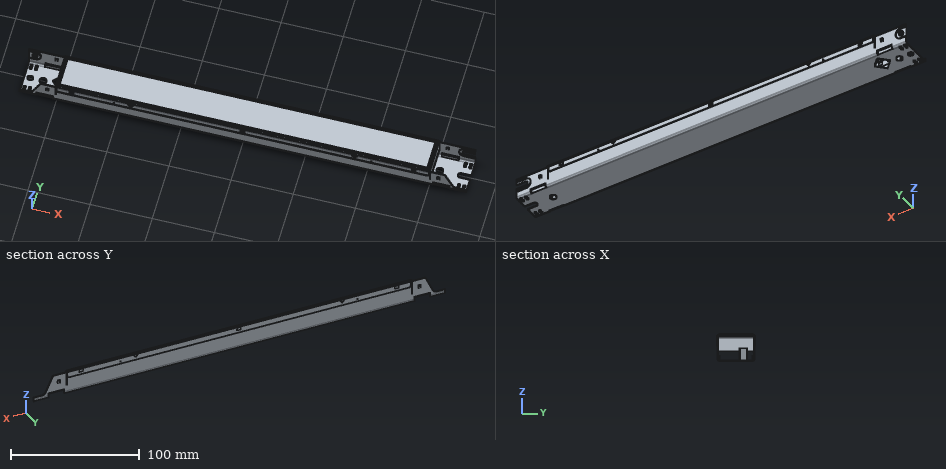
import cadquery as cq
import math

length = 359.0
overall_width = 30.12
overall_height = 21.0
sheet = 0.6

base_width = overall_width - 2 * sheet
base_height = 18.6
base_bend = 1.7
lip_height = 3.4
lip_corner_inset = 9.7
wall_top_inset = 17.0
lip_fillet = 3.5

cover_inset = 28.7
skirt_inset = 29.9
skirt_bottom = 13.2
skirt_corner_radius = 1.5
lid_facets = ((0.25, 1.1), (1.1, 1.1), (1.1, 0.4))
flap_bottom = 7.6

wall_hole_diameter = 4.1
wall_hole_inset = 4.8
wall_hole_height = 11.5
wall_slot_centre_inset = 8.3
pad_diameter = 9.6
pad_depth = 0.3

floor_hole_diameter = 5.4
left_floor_hole_inset = 15.1
right_floor_hole_inset = 24.9
floor_slot_width = 4.2
oblong_length = 4.6
oblong_width = 3.8
oblong_inset = 4.8
floor_slot_depth = 10.2
corner_hole_diameter = 1.9
corner_hole_insets = (2.7, 7.0)
corner_hole_offsets = (9.0, 11.4)

window_side = 10.0
window_turn = -45.0
window_apex_inset = 22.3
window_y = 1.9
tab_width = 7.7
tab_height = 10.0

recess_depth = 0.5
dent_start = 13.2
dent_end = 26.8
dent_depth = 1.3
lance_inset = 22.2
lance_width = 2.0
lance_bottom = 10.9
lance_height = 2.3
snap_positions = (-137.6, 0.0, 137.6)
snap_width = 3.3
snap_bottom = 15.3
snap_height = 2.5
notch_positions = (-90.0, 90.0)
notch_width = 4.4
notch_bottom = 15.6
notch_top = 18.2
prick_positions = (-103.5, 103.5)
prick_height = 15.2
prick_diameter = 0.5

cut_margin = 1.0

half_length = length / 2
half_base = base_width / 2
half_width = overall_width / 2
wall_inner = half_base - sheet
cover_length = length - 2 * cover_inset


def box(x0, x1, y0, y1, z0, z1):
    """Axis-aligned block between opposite corners."""
    return cq.Workplane("XY").box(x1 - x0, y1 - y0, z1 - z0, centered=False).translate((x0, y0, z0))


def both_ends(shape):
    """Shape joined with its copy at the opposite X end."""
    return shape.union(shape.mirror("YZ"))


def both_sides(shape):
    """Shape joined with its copy on the opposite Y side."""
    return shape.union(shape.mirror("XZ"))


def side_prism(points, y0, y1):
    """Prism on an outline in (x, z), running from y0 to y1."""
    return cq.Workplane("XZ").polyline(points).close().extrude(-(y1 - y0)).translate((0, y0, 0))


def long_prism(points, width, x_centre):
    """Prism on an outline in (y, z), centred on x_centre."""
    prism = cq.Workplane("YZ").polyline(points).close().extrude(width / 2, both=True)
    return prism.translate((x_centre, 0, 0))


def channel():
    """U-shaped base with rounded bottom bends."""
    outer = box(-half_length, half_length, -half_base, half_base, 0, base_height)
    outer = outer.edges("|X and <Z").fillet(base_bend)
    inner = box(-half_length, half_length, -wall_inner, wall_inner, sheet, overall_height)
    inner = inner.edges("|X and <Z").fillet(base_bend - sheet)
    return outer.cut(inner)


def front_wall_cutaway():
    """Sloping cut that leaves only a low lip at each end of the front wall."""
    outline = [
        (-half_length - cut_margin, lip_height),
        (-half_length + lip_corner_inset, lip_height),
        (-half_length + wall_top_inset, base_height),
        (-half_length + wall_top_inset, overall_height),
        (-half_length - cut_margin, overall_height),
    ]
    cutter = side_prism(outline, -half_width, -wall_inner + cut_margin)
    corner_point = (-half_length + lip_corner_inset, -half_base, lip_height)
    lip_corner = cq.selectors.NearestToPointSelector(corner_point)
    return both_ends(cutter.edges("|Y").edges(lip_corner).fillet(lip_fillet))


def wall_disc(x_centre, diameter, y0, y1):
    """Disc along Y at the mounting height of the back wall."""
    disc = cq.Workplane("XZ").circle(diameter / 2).extrude(-(y1 - y0))
    return disc.translate((x_centre, y0, wall_hole_height))


def open_slot(x_centre, diameter, y0, y1):
    """Round-ended slot shape in the back wall, open at the +X end."""
    height = wall_hole_height
    radius = diameter / 2
    slab = box(x_centre, half_length, y0, y1, height - radius, height + radius)
    envelope = box(x_centre - radius, half_length, y0, y1, height - radius, height + radius)
    return slab.union(wall_disc(x_centre, diameter, y0, y1)).intersect(envelope)


def add_wall_mounts(base):
    """Pressed pads with a hole at the -X end and an open slot at the +X end."""
    hole_x = -half_length + wall_hole_inset
    slot_x = half_length - wall_slot_centre_inset

    def pads(y0, y1):
        left = open_slot(-hole_x, pad_diameter, y0, y1).mirror("YZ")
        return left.union(open_slot(slot_x, pad_diameter, y0, y1))

    base = base.union(pads(wall_inner - pad_depth, wall_inner))
    base = base.cut(pads(half_base - pad_depth, half_base))
    base = base.cut(wall_disc(hole_x, wall_hole_diameter, 0, half_width))
    return base.cut(open_slot(slot_x, wall_hole_diameter, 0, half_width))


def floor_openings():
    """Holes and slots through the floor."""
    floor = cq.Workplane("XY").workplane(offset=-cut_margin)
    depth = sheet + 2 * cut_margin
    hole_points = [(-half_length + left_floor_hole_inset, 0), (half_length - right_floor_hole_inset, 0)]
    cutter = floor.pushPoints(hole_points).circle(floor_hole_diameter / 2).extrude(depth)
    oblong = floor.center(-half_length + oblong_inset, 0).slot2D(oblong_length, oblong_width).extrude(depth)
    slot = floor.center(half_length, 0).slot2D(2 * floor_slot_depth, floor_slot_width).extrude(depth)
    corner_points = [
        (end * (half_length - inset), side * offset)
        for end in (-1, 1)
        for side in (-1, 1)
        for inset in corner_hole_insets
        for offset in corner_hole_offsets
    ]
    corners = floor.pushPoints(corner_points).circle(corner_hole_diameter / 2).extrude(depth)
    return cutter.union(oblong).union(slot).union(corners)


def place_in_window(shape):
    """Move a shape from the window's own frame, apex at the origin, onto the floor."""
    turned = shape.rotate((0, 0, 0), (0, 0, 1), window_turn)
    return turned.translate((-half_length + window_apex_inset, window_y, 0))


def add_floor_window(base):
    """Turned square window and the tab standing on its far edge."""
    window = place_in_window(box(0, window_side, 0, window_side, -cut_margin, sheet + cut_margin))
    tab_start = (window_side - tab_width) / 2
    tab_end = tab_start + tab_width
    tab = place_in_window(box(tab_start, tab_end, window_side, window_side + sheet, 0, tab_height))
    return base.cut(window).union(tab)


def add_corner_dents(base):
    """Low stretches of both walls pressed inward near each end."""
    x0 = -half_length + dent_start
    x1 = -half_length + dent_end
    pressed_face = half_base - dent_depth
    inside = box(x0, x1, pressed_face - sheet, wall_inner, 0, lip_height + sheet)
    outside = box(x0, x1, pressed_face, half_base, 0, lip_height)
    return base.union(both_ends(both_sides(inside))).cut(both_ends(both_sides(outside)))


def add_lances(base):
    """Small wall tabs hinged at the bottom and leaning outward."""
    x = -half_length + lance_inset
    top = lance_bottom + lance_height
    x0 = x - lance_width / 2
    x1 = x + lance_width / 2
    window = box(x0, x1, wall_inner - cut_margin, half_width, lance_bottom, top)
    outline = [
        (wall_inner, lance_bottom),
        (half_base, lance_bottom),
        (half_width, top),
        (half_width - sheet, top),
    ]
    tab = long_prism(outline, lance_width, x)
    return base.cut(both_ends(both_sides(window))).union(both_ends(both_sides(tab)))


def lid_body(half_x, half_y, top):
    """Block whose upper edges are bevelled in successive flat facets."""
    level = top - sum(rise for _, rise in lid_facets)
    body = box(-half_x, half_x, -half_y, half_y, flap_bottom, level)
    for run, rise in lid_facets:
        taper = math.degrees(math.atan2(run, rise))
        outline = cq.Workplane("XY").workplane(offset=level).rect(2 * half_x, 2 * half_y)
        body = body.union(outline.extrude(rise, taper=taper))
        level += rise
        half_x -= run
        half_y -= run
    return body


def cover():
    """Lid with bevelled upper edges, long skirts and end flaps."""
    half_cover = cover_length / 2
    half_skirt = half_length - skirt_inset
    outer = lid_body(half_cover, half_width, overall_height)
    inner = lid_body(half_cover - sheet, half_base, overall_height - sheet)
    shell = outer.cut(inner)

    below_lid = box(-half_length, half_length, wall_inner, half_width, 0, base_height)
    skirt = box(-half_skirt, half_skirt, half_base, half_width, skirt_bottom, base_height)
    skirt = skirt.edges("|Y and <Z").fillet(skirt_corner_radius)
    return shell.cut(both_sides(below_lid.cut(skirt)))


def skirt_recesses():
    """Sloped snap pockets, triangular notches and round prick marks pressed into the skirts."""
    snap_outline = [
        (half_width, snap_bottom),
        (half_width - recess_depth / 2, snap_bottom),
        (half_width - recess_depth, snap_bottom + snap_height),
        (half_width, snap_bottom + snap_height),
    ]
    recesses = cq.Workplane("XY")
    for x in snap_positions:
        recesses = recesses.union(long_prism(snap_outline, snap_width, x))
    for x in notch_positions:
        triangle = [(x - notch_width / 2, notch_top), (x + notch_width / 2, notch_top), (x, notch_bottom)]
        recesses = recesses.union(side_prism(triangle, half_width - recess_depth, half_width))
    for x in prick_positions:
        prick = cq.Workplane("XZ").circle(prick_diameter / 2).extrude(-recess_depth)
        recesses = recesses.union(prick.translate((x, half_width - recess_depth, prick_height)))
    return both_sides(recesses)


base = channel().cut(front_wall_cutaway())
base = add_wall_mounts(base)
base = add_corner_dents(base)
base = base.cut(floor_openings())
base = add_floor_window(base)
base = add_lances(base)
result = base.union(cover().cut(skirt_recesses()))